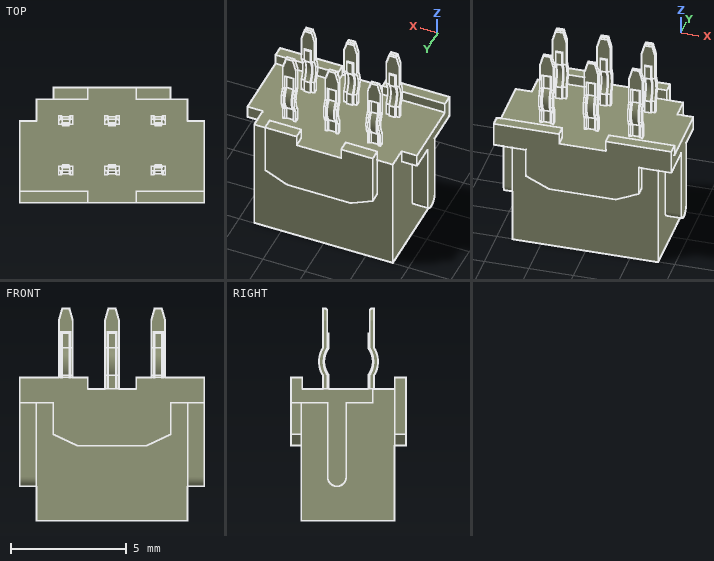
import cadquery as cq

BODY_WIDTH = 6.55
BODY_BACK = 2.0
BODY_FRONT = -2.05
BODY_HEIGHT = 5.72

OVERALL_WIDTH = 8.0
PLATE_THICKNESS = 0.5
FRONT_PLATE_INNER_Y = -2.0
PLATE_TOP = 6.22
NOTCH_WIDTH = 2.1
SHOULDER_HEIGHT = 5.12
TONGUE_WIDTH = 5.08
TONGUE_TIP_WIDTH = 3.0
TONGUE_TAPER_HEIGHT = 3.75
TONGUE_BOTTOM = 3.26

FLANGE_BACK = 1.05
RAIL_WIDTH = 0.8
RAIL_Y = -0.5
RAIL_BOTTOM = 1.5
SIDE_REACH = (OVERALL_WIDTH - BODY_WIDTH) / 2

PIN_PITCH = 2.0
PIN_COLUMNS = 3
PIN_WIDTH = 0.61
PIN_THICKNESS = 0.2
PIN_OUTER_Y = 1.115
PIN_TOP = 9.2
TIP_WIDTH = 0.32
TIP_LENGTH = 0.51
TIP_CHAMFER = 0.06

BEND_HALF_HEIGHT = 0.59
BEND_BULGE = 0.17
BEND_Z = 6.9

BEAD_DEPTH = 0.067
BEAD_DEPTH_AT_BEND = 0.04
BEAD_BULGE = BEND_BULGE + BEAD_DEPTH - BEAD_DEPTH_AT_BEND
BEAD_TOP = 8.12
GROOVE_WIDTH = 0.43
GROOVE_FLOOR_WIDTH = 0.31
RIB_WIDTH = 0.32
RIB_CREST_WIDTH = 0.26
GROOVE_CLEARANCE = 0.1


def box(x_min, x_max, y_min, y_max, z_min, z_max):
    size = (x_max - x_min, y_max - y_min, z_max - z_min)
    return cq.Workplane("XY").box(*size, centered=False).translate((x_min, y_min, z_min))


def latch_plate(outline, y_back):
    """Plate with the given XZ outline, reaching from y_back toward -Y."""
    return cq.Workplane("XZ", origin=(0, y_back, 0)).polyline(outline).close().extrude(PLATE_THICKNESS)


def top_notch(y_back):
    """Gap in the middle of a latch plate, down to the top of the body."""
    half = NOTCH_WIDTH / 2
    return box(-half, half, y_back - PLATE_THICKNESS, y_back, BODY_HEIGHT, PLATE_TOP)


def latch_plates():
    tongue = TONGUE_WIDTH / 2
    tip = TONGUE_TIP_WIDTH / 2
    shoulder = OVERALL_WIDTH / 2
    tongue_end = [
        (tongue, TONGUE_TAPER_HEIGHT),
        (tip, TONGUE_BOTTOM),
        (-tip, TONGUE_BOTTOM),
        (-tongue, TONGUE_TAPER_HEIGHT),
    ]
    front_outline = [
        (-tongue, SHOULDER_HEIGHT),
        (-shoulder, SHOULDER_HEIGHT),
        (-shoulder, PLATE_TOP),
        (shoulder, PLATE_TOP),
        (shoulder, SHOULDER_HEIGHT),
        (tongue, SHOULDER_HEIGHT),
    ] + tongue_end
    back_outline = [(-tongue, PLATE_TOP), (tongue, PLATE_TOP)] + tongue_end

    back_y = BODY_BACK + PLATE_THICKNESS
    front = latch_plate(front_outline, FRONT_PLATE_INNER_Y).cut(top_notch(FRONT_PLATE_INNER_Y))
    back = latch_plate(back_outline, back_y).cut(top_notch(back_y))
    return front.union(back)


def side_flange_and_rail():
    """Flange and round-ended rail on the +X wall."""
    wall = BODY_WIDTH / 2
    reach = OVERALL_WIDTH / 2
    front = FRONT_PLATE_INNER_Y - PLATE_THICKNESS
    flange = box(wall, reach, front, FLANGE_BACK, SHOULDER_HEIGHT, BODY_HEIGHT)

    half = RAIL_WIDTH / 2
    rail = (
        cq.Workplane("YZ", origin=(wall, 0, 0))
        .moveTo(RAIL_Y - half, BODY_HEIGHT)
        .lineTo(RAIL_Y - half, RAIL_BOTTOM + half)
        .threePointArc((RAIL_Y, RAIL_BOTTOM), (RAIL_Y + half, RAIL_BOTTOM + half))
        .lineTo(RAIL_Y + half, BODY_HEIGHT)
        .close()
        .extrude(SIDE_REACH)
    )
    return flange.union(rail)


def housing():
    body = box(-BODY_WIDTH / 2, BODY_WIDTH / 2, BODY_FRONT, BODY_BACK, 0, BODY_HEIGHT)
    side = side_flange_and_rail()
    return body.union(latch_plates()).union(side).union(side.mirror("YZ"))


def bent_strip(x, outer_inset, inner_inset, outer_top, inner_top, inner_bulge=BEND_BULGE):
    """Closed YZ outline at x between two bent faces, each inset inward from the outer pin face."""
    outer_y = PIN_OUTER_Y - outer_inset
    inner_y = PIN_OUTER_Y - inner_inset
    bend_start = BEND_Z - BEND_HALF_HEIGHT
    bend_end = BEND_Z + BEND_HALF_HEIGHT
    return (
        cq.Workplane("YZ", origin=(x, 0, 0))
        .moveTo(outer_y, BODY_HEIGHT)
        .lineTo(outer_y, bend_start)
        .threePointArc((outer_y + BEND_BULGE, BEND_Z), (outer_y, bend_end))
        .lineTo(outer_y, outer_top)
        .lineTo(inner_y, inner_top)
        .lineTo(inner_y, bend_end)
        .threePointArc((inner_y + inner_bulge, BEND_Z), (inner_y, bend_start))
        .lineTo(inner_y, BODY_HEIGHT)
        .close()
    )


def sloped_side(middle, edge):
    """Ruled solid joining two matching outlines that lie in different YZ planes."""
    return cq.Workplane(cq.Solid.makeLoft([middle.val(), edge.val()], True))


def bead(middle, edge, half_middle_width):
    """Full-section middle of a bead with a sloped flank on both sides."""
    flank = sloped_side(middle, edge)
    core = middle.extrude(-2 * half_middle_width)
    return core.union(flank).union(flank.mirror("YZ"))


def groove():
    """Cutter for the groove, standing proud of the outer face; its top slopes at 45 degrees."""
    half_floor = GROOVE_FLOOR_WIDTH / 2
    open_top = BEAD_TOP + BEAD_DEPTH
    clear_top = open_top + GROOVE_CLEARANCE
    middle = bent_strip(half_floor, -GROOVE_CLEARANCE, BEAD_DEPTH, clear_top, BEAD_TOP, BEAD_BULGE)
    edge = bent_strip(GROOVE_WIDTH / 2, -GROOVE_CLEARANCE, 0, clear_top, open_top)
    return bead(middle, edge, half_floor)


def rib():
    """Raised rib, rooted inside the pin strip."""
    half_crest = RIB_CREST_WIDTH / 2
    root = PIN_THICKNESS / 2
    crest = PIN_THICKNESS + BEAD_DEPTH
    middle = bent_strip(half_crest, root, crest, BEAD_TOP, BEAD_TOP, BEAD_BULGE)
    edge = bent_strip(RIB_WIDTH / 2, root, PIN_THICKNESS, BEAD_TOP, BEAD_TOP)
    return bead(middle, edge, half_crest)


def pin():
    """One pin of the back row, centred on X = 0."""
    half = PIN_WIDTH / 2
    half_tip = TIP_WIDTH / 2
    strip = bent_strip(-half, 0, PIN_THICKNESS, PIN_TOP, PIN_TOP).extrude(PIN_WIDTH)
    strip = strip.faces(">Z").edges("<Y").chamfer(TIP_CHAMFER)

    tapered_outline = [
        (-half, BODY_HEIGHT),
        (half, BODY_HEIGHT),
        (half, PIN_TOP - TIP_LENGTH),
        (half_tip, PIN_TOP),
        (-half_tip, PIN_TOP),
        (-half, PIN_TOP - TIP_LENGTH),
    ]
    envelope = cq.Workplane("XZ").polyline(tapered_outline).close().extrude(-BODY_BACK)
    return strip.intersect(envelope).cut(groove()).union(rib())


def connector():
    part = housing()
    back_pin = pin()
    front_pin = back_pin.mirror("XZ")
    for column in range(PIN_COLUMNS):
        x = (column - (PIN_COLUMNS - 1) / 2) * PIN_PITCH
        part = part.union(back_pin.translate((x, 0, 0)))
        part = part.union(front_pin.translate((x, 0, 0)))
    return part


result = connector()